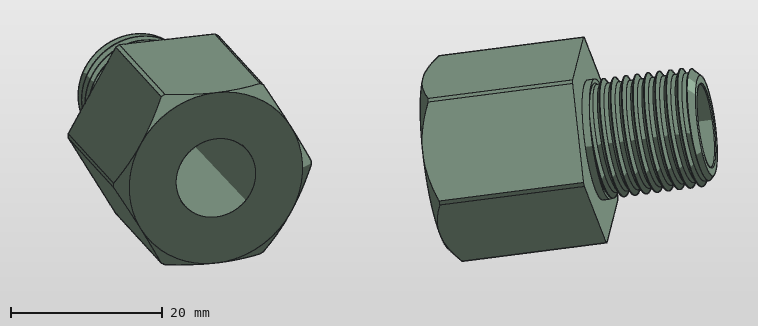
import cadquery as cq
import math

total_length = 36.0
across_flats = 24.0
across_corners = 27.4
hex_start = 15.0
hex_chamfer_length = 1.48

collar_diameter = 16.0
collar_start = 14.05

bore_diameter = 11.0
bore_chamfer = 0.15

root_diameter = 14.47
crest_diameter = 15.85
nose_diameter = 13.35
pitch = hex_start / 10
tooth_base_width = 0.9
tooth_crest_width = 0.1
tooth_overlap = 0.1
helix_start = 0.263 - pitch
helix_turns = 10.5


def cylinder(diameter, start, end):
    return cq.Workplane("YZ", origin=(start, 0, 0)).circle(diameter / 2).extrude(end - start)


def make_hex_body():
    """Hexagon with clipped corners and a turned chamfer on its far end."""
    sharp_corners = across_flats / math.cos(math.pi / 6)
    length = total_length - hex_start
    body = cq.Workplane("YZ", origin=(hex_start, 0, 0)).polygon(6, sharp_corners).extrude(length)
    turned = (
        cylinder(across_corners, hex_start, total_length)
        .faces(">X")
        .chamfer(hex_chamfer_length, (across_corners - across_flats) / 2)
    )
    return body.intersect(turned)


def make_tooth():
    """Right-handed helical ridge of trapezoidal section, wound along X."""
    root_radius = root_diameter / 2
    inner_radius = root_radius - tooth_overlap
    crest_radius = crest_diameter / 2
    flank_run = (tooth_base_width - tooth_crest_width) / 2
    flank_slope = flank_run / (crest_radius - root_radius)
    half_inner = tooth_base_width / 2 + flank_slope * tooth_overlap
    half_crest = tooth_crest_width / 2
    helix = cq.Wire.makeHelix(pitch, helix_turns * pitch, root_radius)
    ridge = (
        cq.Workplane("XZ")
        .moveTo(inner_radius, -half_inner)
        .lineTo(crest_radius, -half_crest)
        .lineTo(crest_radius, half_crest)
        .lineTo(inner_radius, half_inner)
        .close()
        .sweep(cq.Workplane(obj=helix), isFrenet=True)
    )
    return ridge.rotate((0, 0, 0), (0, 1, 0), 90).translate((helix_start, 0, 0))


def make_threaded_shank():
    """Shank and thread, both trimmed by the 45 degree cone on the nose."""
    nose_chamfer = (collar_diameter - nose_diameter) / 2
    envelope = cylinder(collar_diameter, 0, hex_start).faces("<X").chamfer(nose_chamfer)
    shank = cylinder(root_diameter, 0, hex_start).intersect(envelope)
    thread = make_tooth().intersect(envelope)
    return shank.union(thread)


def make_bore():
    """Through bore, widened by a small chamfer at the threaded end."""
    bore = cylinder(bore_diameter, 0, total_length)
    mouth = cq.Workplane("YZ").circle(bore_diameter / 2 + bore_chamfer).extrude(bore_chamfer, taper=45)
    return bore.union(mouth)


collar = cylinder(collar_diameter, collar_start, hex_start)
result = make_threaded_shank().union(collar).union(make_hex_body()).cut(make_bore())